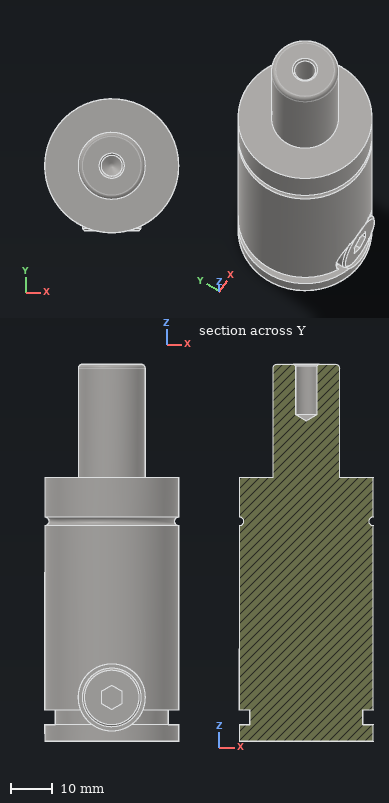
import cadquery as cq
import math

total_height = 90.0
body_diameter = 32.0
body_height = 63.0

rod_diameter = 16.0
rod_edge_radius = 1.0

rod_hole_diameter = 5.0
rod_hole_depth = 12.0
rod_hole_chamfer = 0.5
drill_point_angle = 118.0

ring_groove_radius = 1.0
ring_groove_center_z = 52.5

base_flange_height = 4.0
base_groove_width = 3.5
base_groove_diameter = 27.0

plug_center_z = 10.5
recess_diameter = 16.0
recess_floor_y = -11.0
plug_diameter = 14.0
plug_face_y = -15.5
plug_chamfer = 0.5
hex_across_flats = 5.0
hex_depth = 4.0

body_radius = body_diameter / 2
rod_radius = rod_diameter / 2


def make_body_and_rod():
    """Revolve the half profile of the grooved body and the rod about Z."""
    groove_radius = base_groove_diameter / 2
    base_groove_top = base_flange_height + base_groove_width
    ring_groove_bottom = ring_groove_center_z - ring_groove_radius
    ring_groove_top = ring_groove_center_z + ring_groove_radius
    profile = (
        cq.Workplane("XZ")
        .lineTo(body_radius, 0)
        .lineTo(body_radius, base_flange_height)
        .lineTo(groove_radius, base_flange_height)
        .lineTo(groove_radius, base_groove_top)
        .lineTo(body_radius, base_groove_top)
        .lineTo(body_radius, ring_groove_bottom)
        .threePointArc(
            (body_radius - ring_groove_radius, ring_groove_center_z),
            (body_radius, ring_groove_top),
        )
        .lineTo(body_radius, body_height)
        .lineTo(rod_radius, body_height)
        .lineTo(rod_radius, total_height)
        .lineTo(0, total_height)
        .close()
    )
    solid = profile.revolve(360, (0, 0), (0, 1))
    return solid.faces(">Z").edges().fillet(rod_edge_radius)


def make_rod_hole():
    """Blind drilled hole with a conical bottom and a chamfered mouth."""
    hole_radius = rod_hole_diameter / 2
    cone_height = hole_radius / math.tan(math.radians(drill_point_angle / 2))
    hole_bottom = total_height - rod_hole_depth
    return (
        cq.Workplane("XZ")
        .moveTo(0, hole_bottom - cone_height)
        .lineTo(hole_radius, hole_bottom)
        .lineTo(hole_radius, total_height - rod_hole_chamfer)
        .lineTo(hole_radius + rod_hole_chamfer, total_height)
        .lineTo(0, total_height)
        .close()
        .revolve(360, (0, 0), (0, 1))
    )


def plug_plane(y):
    """Plane facing -Y at the given y, centered on the plug axis."""
    return cq.Workplane("XZ", origin=(0, y, plug_center_z))


def make_recess():
    """Round pocket running from outside the body to the recess floor."""
    recess_depth = body_radius + recess_floor_y
    return plug_plane(recess_floor_y).circle(recess_diameter / 2).extrude(recess_depth)


def make_plug():
    """Chamfered plug with a hexagon socket, standing on the recess floor."""
    plug_height = recess_floor_y - plug_face_y
    plug = plug_plane(recess_floor_y).circle(plug_diameter / 2).extrude(plug_height)
    plug = plug.faces("<Y").edges().chamfer(plug_chamfer)
    hex_across_corners = hex_across_flats / math.cos(math.pi / 6)
    socket = (
        plug_plane(plug_face_y)
        .transformed(rotate=(0, 0, 90))
        .polygon(6, hex_across_corners)
        .extrude(-hex_depth)
    )
    return plug.cut(socket)


result = make_body_and_rod()
result = result.cut(make_rod_hole())
result = result.cut(make_recess())
result = result.union(make_plug())